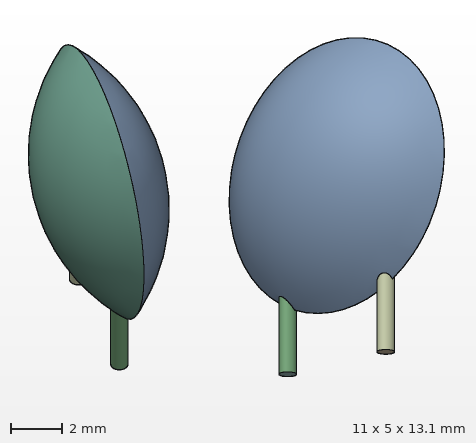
import cadquery as cq

disc_diameter = 11.0
disc_thickness = 5.0
total_height = 13.1
lead_diameter = 0.7
lead_spacing = 5.0

disc_radius = disc_diameter / 2
half_thickness = disc_thickness / 2
lead_bottom = disc_radius - total_height
lead_top = -disc_radius / 2


def lens_body():
    """Biconvex disc: two spherical caps meeting at a sharp rim, axis along Y."""
    cap_radius = (disc_radius**2 + half_thickness**2) / (2 * half_thickness)
    cap_offset = cap_radius - half_thickness
    front_cap = cq.Workplane("XY").sphere(cap_radius).translate((0, cap_offset, 0))
    back_cap = cq.Workplane("XY").sphere(cap_radius).translate((0, -cap_offset, 0))
    return front_cap.intersect(back_cap)


def leads():
    """Two round wire leads pointing straight down from the disc."""
    return (
        cq.Workplane("XY", origin=(0, 0, lead_bottom))
        .pushPoints([(-lead_spacing / 2, 0), (lead_spacing / 2, 0)])
        .circle(lead_diameter / 2)
        .extrude(lead_top - lead_bottom)
    )


result = lens_body().union(leads())